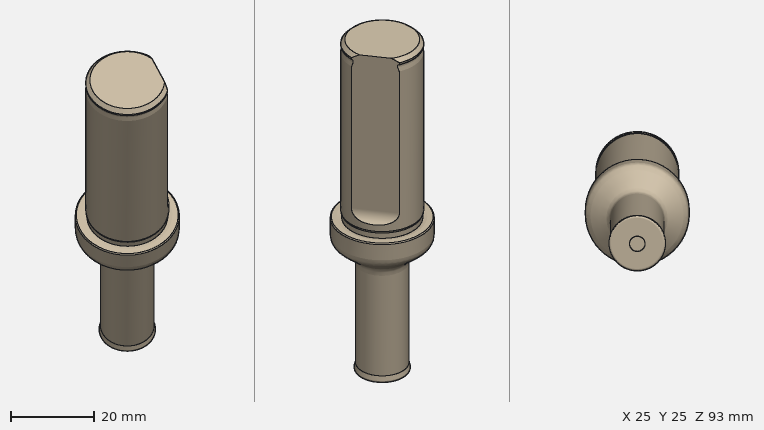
import cadquery as cq
import math

total_length = 93.0
shank_radius = 20.0 / 2
groove_radius = 19.5 / 2
collar_radius = 25.0 / 2
neck_radius = 12.9 / 2

tip_height = 2.2
tip_radius = 6.8
tip_corner_top = 0.9
tip_corner_drop = 0.65
tip_face_radius = 6.2
nose_radius = 3.7 / 2

neck_top = 30.3
cone_bottom_radius = 7.35
cone_bottom = 32.7
cone_top_radius = 11.2
cone_top = 35.9
collar_bottom = 38.4
collar_top = 43.15
collar_chamfer = 0.3

relief_outer_radius = 10.9
relief_depth = 0.2
shank_bottom = 45.0
shank_bottom_bevel = 0.6

end_chamfer = 1.0
end_land = 0.5
end_groove_slope = 0.3
end_groove_bottom = 90.6
end_groove_run_out = 89.5

flat_offset = 8.1
flat_end = 46.8
flat_run_out_radius = 3.0


def make_cutting_tip():
    """Flared disc with a rounded lower corner and a small central nose."""
    face_height = tip_corner_top - tip_corner_drop
    corner_width = tip_radius - tip_face_radius
    bulge = math.sqrt(0.5)
    corner_middle = (
        tip_face_radius + corner_width * bulge,
        tip_corner_top - tip_corner_drop * bulge,
    )
    return (
        cq.Workplane("XZ")
        .moveTo(0, 0)
        .lineTo(nose_radius, 0)
        .lineTo(nose_radius, face_height)
        .lineTo(tip_face_radius, face_height)
        .threePointArc(corner_middle, (tip_radius, tip_corner_top))
        .lineTo(neck_radius, tip_height)
        .lineTo(0, tip_height)
        .close()
        .revolve(360, (0, 0, 0), (0, 1, 0))
    )


def make_turned_holder():
    """Neck, flared collar and grooved shank turned about the Z axis."""
    cone_slope = (cone_top_radius - cone_bottom_radius, cone_top - cone_bottom)
    relief_floor = collar_top - relief_depth
    chamfer_bottom = total_length - end_chamfer
    land_bottom = chamfer_bottom - end_land
    return (
        cq.Workplane("XZ")
        .moveTo(0, tip_height)
        .lineTo(neck_radius, tip_height)
        .lineTo(neck_radius, neck_top)
        .spline(
            [(cone_bottom_radius, cone_bottom)],
            tangents=[(0, 1), cone_slope],
            includeCurrent=True,
        )
        .lineTo(cone_top_radius, cone_top)
        .spline(
            [(collar_radius, collar_bottom)],
            tangents=[cone_slope, (0, 1)],
            includeCurrent=True,
        )
        .lineTo(collar_radius, collar_top - collar_chamfer)
        .lineTo(collar_radius - collar_chamfer, collar_top)
        .lineTo(relief_outer_radius, collar_top)
        .lineTo(groove_radius, relief_floor)
        .lineTo(groove_radius, shank_bottom - shank_bottom_bevel)
        .lineTo(shank_radius, shank_bottom)
        .lineTo(shank_radius, end_groove_run_out)
        .lineTo(groove_radius, end_groove_bottom)
        .lineTo(groove_radius, land_bottom - end_groove_slope)
        .lineTo(shank_radius, land_bottom)
        .lineTo(shank_radius, chamfer_bottom)
        .lineTo(shank_radius - end_chamfer, total_length)
        .lineTo(0, total_length)
        .close()
        .revolve(360, (0, 0, 0), (0, 1, 0))
    )


def make_flat_cutter():
    """Material removed by the shank flat, with an arc tangent to the flat."""
    arc_centre_y = flat_offset + flat_run_out_radius
    arc_rise = math.sqrt(flat_run_out_radius**2 - (arc_centre_y - shank_radius) ** 2)
    arc_centre_z = flat_end + arc_rise
    bulge = flat_run_out_radius * math.sqrt(0.5)
    return (
        cq.Workplane("YZ")
        .moveTo(flat_offset, total_length)
        .lineTo(flat_offset, arc_centre_z)
        .threePointArc(
            (arc_centre_y - bulge, arc_centre_z - bulge),
            (arc_centre_y, arc_centre_z - flat_run_out_radius),
        )
        .lineTo(arc_centre_y, total_length)
        .close()
        .extrude(shank_radius, both=True)
    )


cutting_tip = make_cutting_tip()
holder = make_turned_holder().cut(make_flat_cutter()).solids()

result = cq.Compound.makeCompound([holder.val(), cutting_tip.val()])